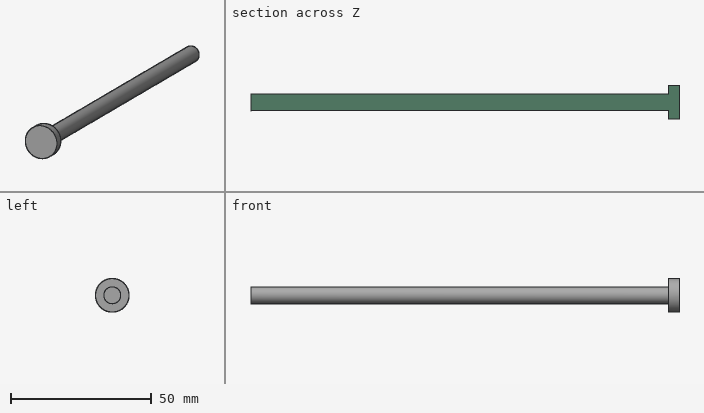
import cadquery as cq

overall_length = 152.0
head_diameter = 12.0
head_thickness = 4.0
shank_diameter = 6.0
shank_length = overall_length - head_thickness


def cylinder_along_x(start_x, length, diameter):
    """Cylinder on the X axis, running toward +X from start_x."""
    return cq.Workplane("YZ", origin=(start_x, 0, 0)).circle(diameter / 2).extrude(length)


shank = cylinder_along_x(0, shank_length, shank_diameter)
head = cylinder_along_x(shank_length, head_thickness, head_diameter)

result = shank.union(head)